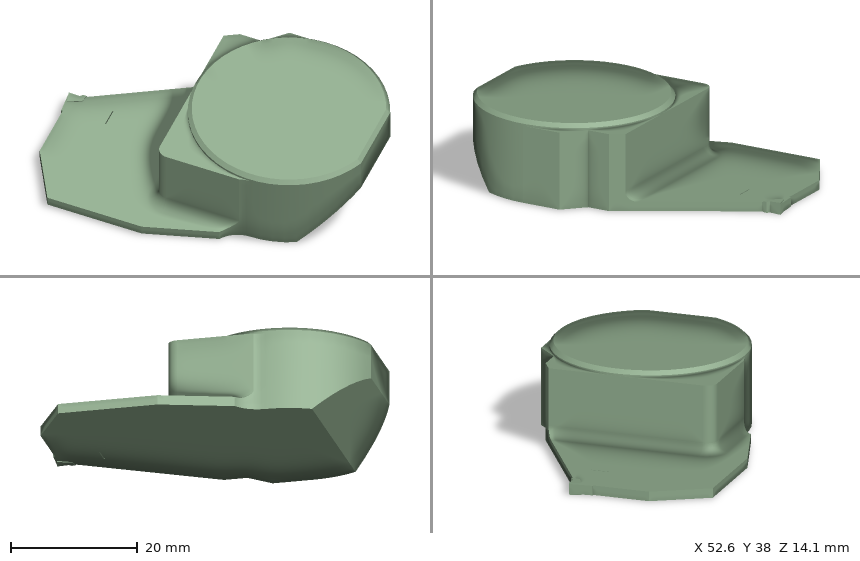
import cadquery as cq
import math


disc_radius = 16.0
disc_height = 13.85
disc_chamfer = 0.65
flat_x = 14.85
underside_bevel = 7.6

block_height = 12.85
block_front_y = -16.3
block_back_y = 12.7
block_corner_radius = 1.8
root_fillet = 1.7
lug_corner_x = -6.65
relief_radius = 5.0

blade_thickness = 1.6
blade_left_x = -37.2
blade_front_y = -22.0
blade_slope = 30
back_edge_x = -13.75
left_corner_y = -13.1
front_left_x = -32.15
front_right_x = -16.0
front_end_x = -4.3
front_end_y = -18.35

insert_bottom_y = -3.75
insert_left_x = -37.45
insert_right_x = -29.95
end_gap = 0.15
tip_x = -37.75
tip_y = 0.1
insert_top_y = 0.6
seat_x = -34.3
seat_y = -0.2
shoulder_x = -32.3
tail_y = -0.75
head_right_x = -34.9
head_heel_y = -1.8
head_heel_x = -37.3
head_elbow_x = -35.15
step_foot_x = -35.85
step_top_x = -35.5
tip_overhang = 0.2
neck_overhang = 0.1


def prism(points, height):
    """Upright solid standing on z = 0."""
    return cq.Workplane("XY").polyline(points).close().extrude(height)


def make_insert():
    """Cutting insert: a shank flush with the blade and a thicker, tapering head."""
    shank = prism([
        (insert_left_x, insert_bottom_y),
        (insert_right_x, insert_bottom_y),
        (insert_right_x, tail_y),
        (shoulder_x, seat_y),
        (seat_x, seat_y),
        (seat_x, insert_top_y),
        (step_top_x, insert_top_y),
        (step_foot_x, tip_y),
        (tip_x, tip_y),
    ], blade_thickness)
    head_outline = [
        (tip_x, tip_y),
        (head_heel_x, head_heel_y),
        (head_elbow_x, tail_y),
        (head_right_x, insert_top_y),
        (step_top_x, insert_top_y),
        (step_foot_x, tip_y),
    ]
    head = prism(head_outline, blade_thickness + 2 * tip_overhang).translate((0, 0, -tip_overhang))
    neck_taper = (
        cq.Workplane("XZ", origin=(0, insert_top_y, 0))
        .polyline([
            (tip_x, -tip_overhang),
            (head_right_x, -neck_overhang),
            (head_right_x, blade_thickness + neck_overhang),
            (tip_x, blade_thickness + tip_overhang),
        ])
        .close()
        .extrude(insert_top_y - head_heel_y)
    )
    return shank.union(head.intersect(neck_taper))


def make_disc():
    """Disc with a chamfered rim, a flat and a bevelled underside."""
    disc = cq.Workplane("XY").circle(disc_radius).extrude(disc_height)
    flat_cut = cq.Workplane("XY").box(
        disc_radius, 2 * disc_radius, disc_height, centered=(False, True, False)
    ).translate((flat_x, 0, 0))
    disc = disc.cut(flat_cut).faces(">Z").chamfer(disc_chamfer)
    bevel = (
        cq.Workplane("XZ")
        .polyline([(flat_x, 0), (flat_x, underside_bevel), (flat_x - underside_bevel, 0)])
        .close()
        .extrude(disc_radius, both=True)
    )
    return disc.cut(bevel)


def make_blade_and_block():
    """Blade with the filleted block on top, both trimmed by the long sloping edge."""
    long_edge_drop = (back_edge_x - blade_left_x) * math.tan(math.radians(blade_slope))
    outline = [
        (blade_left_x, block_back_y - long_edge_drop),
        (blade_left_x, left_corner_y),
        (front_left_x, blade_front_y),
        (front_right_x, blade_front_y),
        (front_end_x, front_end_y),
        (0, front_end_y),
        (0, block_back_y),
        (back_edge_x, block_back_y),
    ]
    overrun = 10.5
    block = (
        cq.Workplane("XY")
        .polyline([
            (-disc_radius, block_front_y),
            (0, block_front_y),
            (0, block_back_y + overrun),
            (-disc_radius, block_back_y + overrun),
        ])
        .close()
        .extrude(block_height)
        .edges("|Z and <X and <Y")
        .fillet(block_corner_radius)
    )
    wide_blade = prism([
        (blade_left_x, blade_front_y),
        (0, blade_front_y),
        (0, block_back_y + overrun),
        (blade_left_x, block_back_y + overrun),
    ], blade_thickness)
    margin = 0.5
    root = cq.selectors.BoxSelector(
        (-disc_radius - margin, block_front_y - margin, blade_thickness - margin),
        (-margin, block_back_y + overrun - margin, blade_thickness + margin),
    )
    body = wide_blade.union(block).edges(root).fillet(root_fillet)
    trim = prism(outline, block_height)
    relief = (
        cq.Workplane("XY")
        .center(0, -disc_radius - relief_radius)
        .circle(relief_radius)
        .extrude(block_height)
    )
    return body.intersect(trim).cut(relief)


def make_lug():
    """Lug filling the corner between the disc and the back of the block."""
    side = disc_radius - block_back_y
    return prism([
        (lug_corner_x, disc_radius),
        (0, disc_radius),
        (0, 0),
        (lug_corner_x - side, 0),
        (lug_corner_x - side, block_back_y),
    ], block_height)


def make_end_gap():
    """Space between the right end of the insert and the end of its seat."""
    return prism([
        (insert_right_x, insert_bottom_y),
        (insert_right_x + end_gap, insert_bottom_y),
        (insert_right_x + end_gap, tail_y),
        (insert_right_x, tail_y),
    ], blade_thickness)


insert = make_insert()
holder = make_disc().union(make_blade_and_block()).union(make_lug())
holder = holder.cut(insert).cut(make_end_gap())

result = cq.Compound.makeCompound([holder.solids().val(), insert.solids().val()])